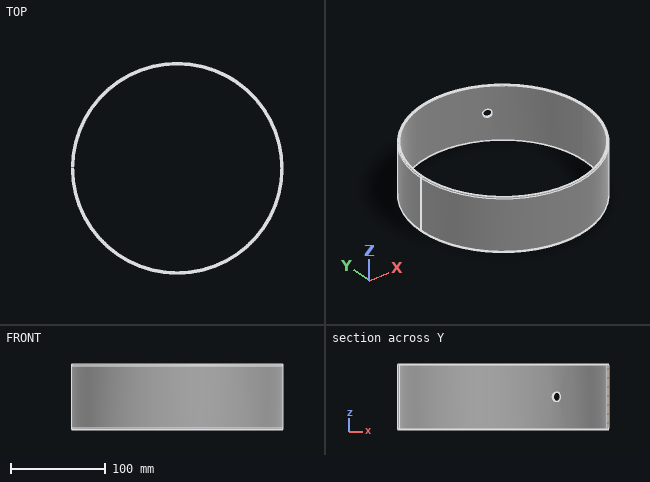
import cadquery as cq

outer_diameter = 225.0
height = 70.0
wall = 2.5
outer_chamfer_height = 2.0
outer_chamfer_depth = 0.7
inner_chamfer_height = 1.0
inner_chamfer_depth = 0.7

slit_width = 1.5

hole_diameter = 10.0
hole_angle = 59.2

outer_radius = outer_diameter / 2
inner_radius = outer_radius - wall
half_height = height / 2


def ring():
    """Revolve the wall section, chamfered at both edges of each rim."""
    outer_shoulder = half_height - outer_chamfer_height
    inner_shoulder = half_height - inner_chamfer_height
    rim_inner = inner_radius + inner_chamfer_depth
    rim_outer = outer_radius - outer_chamfer_depth
    section = [
        (inner_radius, -inner_shoulder),
        (rim_inner, -half_height),
        (rim_outer, -half_height),
        (outer_radius, -outer_shoulder),
        (outer_radius, outer_shoulder),
        (rim_outer, half_height),
        (rim_inner, half_height),
        (inner_radius, inner_shoulder),
    ]
    return cq.Workplane("XZ").polyline(section).close().revolve(360, (0, 0), (0, 1))


def slit_cutter():
    """Full-height block reaching from the axis out through the -X wall."""
    block = cq.Workplane("XY").box(outer_diameter, slit_width, height)
    return block.translate((-outer_radius, slit_width / 2, 0))


def hole_cutter():
    """Cylinder from the axis outward, turned to the hole's angle."""
    cylinder = cq.Workplane("YZ").circle(hole_diameter / 2).extrude(outer_diameter)
    return cylinder.rotate((0, 0, 0), (0, 0, 1), hole_angle)


result = ring().cut(slit_cutter()).cut(hole_cutter())